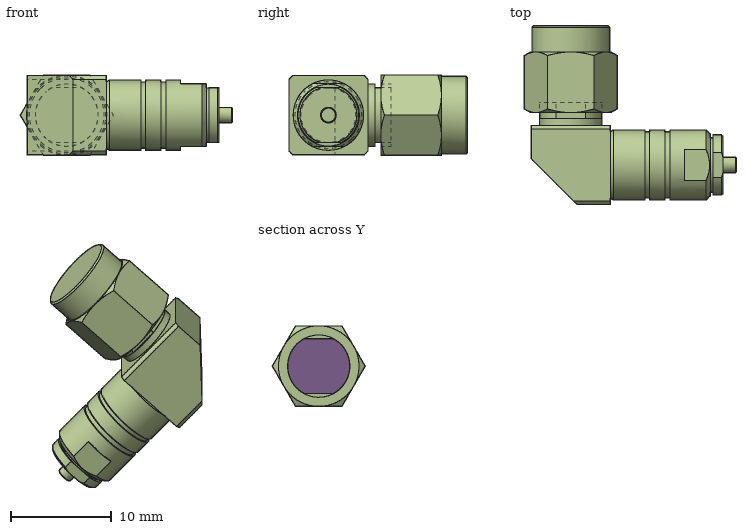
import cadquery as cq
import math


TOTAL_LENGTH = 21.08

BLOCK_SIZE = 7.88
BLOCK_HALF = BLOCK_SIZE / 2
BLOCK_EDGE_CHAMFER = 0.38
CORNER_CUT = 4.57

NECK_RADIUS = 3.1
COLLAR_RADIUS = 3.12
COLLAR_LENGTH = 0.7
NECK_FLAT_OFFSET = 2.75
NECK_DEPTH_IN_NUT = 1.0

NUT_START = 5.2
HEX_LENGTH = 6.03
HEX_SIDES = 6
HEX_ACROSS_FLATS = 8.0
HEX_ACROSS_CORNERS = HEX_ACROSS_FLATS / math.cos(math.pi / HEX_SIDES)
HEX_BEVEL_ANGLE = 30
NUT_END = 13.85
NUT_BARREL_RADIUS = 3.88
NUT_RIM_CHAMFER = 0.17

SLEEVE_RADIUS = 3.5
SLEEVE_START_CHAMFER_LENGTH = 0.3
SLEEVE_START_CHAMFER_DEPTH = 0.17
SLEEVE_END = 13.87
SLEEVE_END_CHAMFER = 0.42
GROOVE_DEPTH = 0.2
GROOVES = [(7.4, 7.85), (9.35, 9.87)]
SLEEVE_FLAT_START = 11.32
SLEEVE_FLAT_OFFSET = 3.15

RELIEF_RADIUS = 2.72
RING_START = 14.12
RING_END = 15.15
RING_RADIUS = 3.01
RING_CHAMFER = 0.2
RING_FLAT_OFFSET = 2.75
PIN_RADIUS = 0.78
PIN_END = TOTAL_LENGTH - HEX_ACROSS_CORNERS / 2
PIN_CHAMFER = 0.08


def cylinder_x(start, end, radius):
    return cq.Workplane("YZ").workplane(offset=start).circle(radius).extrude(end - start)


def cylinder_y(start, end, radius):
    return cq.Workplane("XZ").workplane(offset=-start).circle(radius).extrude(start - end)


def slab_x(start, end, half_height):
    """Box around the X axis that leaves flats on top of and below a round part."""
    width = 2 * BLOCK_SIZE
    return cq.Workplane("XY").box(end - start, width, 2 * half_height).translate(((start + end) / 2, 0, 0))


def slab_y(start, end, half_height):
    """Box around the Y axis that leaves flats on top of and below a round part."""
    width = 2 * BLOCK_SIZE
    return cq.Workplane("XY").box(width, end - start, 2 * half_height).translate((0, (start + end) / 2, 0))


def make_block():
    block = cq.Workplane("XY").box(BLOCK_SIZE, BLOCK_SIZE, BLOCK_SIZE)
    block = block.edges("|X").chamfer(BLOCK_EDGE_CHAMFER)
    corner = (
        cq.Workplane("XY")
        .moveTo(-BLOCK_HALF, -BLOCK_HALF)
        .lineTo(-BLOCK_HALF + CORNER_CUT, -BLOCK_HALF)
        .lineTo(-BLOCK_HALF, -BLOCK_HALF + CORNER_CUT)
        .close()
        .extrude(BLOCK_HALF, both=True)
    )
    return block.cut(corner)


def make_stub():
    collar_end = BLOCK_HALF + COLLAR_LENGTH
    neck_end = NUT_START + NECK_DEPTH_IN_NUT
    collar = cylinder_y(BLOCK_HALF, collar_end, COLLAR_RADIUS)
    neck = cylinder_y(collar_end, neck_end, NECK_RADIUS)
    neck = neck.intersect(slab_y(collar_end, neck_end, NECK_FLAT_OFFSET))
    return collar.union(neck)


def make_sleeve():
    sleeve = cylinder_x(BLOCK_HALF, SLEEVE_END, SLEEVE_RADIUS)
    sleeve = sleeve.faces("<X").chamfer(SLEEVE_START_CHAMFER_LENGTH, SLEEVE_START_CHAMFER_DEPTH)
    sleeve = sleeve.faces(">X").chamfer(SLEEVE_END_CHAMFER)
    for start, end in GROOVES:
        ring_outside = cylinder_x(start, end, SLEEVE_RADIUS)
        groove_floor = cylinder_x(start, end, SLEEVE_RADIUS - GROOVE_DEPTH)
        sleeve = sleeve.cut(ring_outside.cut(groove_floor))
    round_length = slab_x(BLOCK_HALF, SLEEVE_FLAT_START, BLOCK_HALF)
    flatted_length = slab_x(SLEEVE_FLAT_START, SLEEVE_END, SLEEVE_FLAT_OFFSET)
    return sleeve.intersect(round_length.union(flatted_length))


def make_cable_end():
    relief = cylinder_x(SLEEVE_END, RING_START, RELIEF_RADIUS)
    ring = cylinder_x(RING_START, RING_END, RING_RADIUS).faces(">X").chamfer(RING_CHAMFER)
    ring = ring.intersect(slab_x(RING_START, RING_END, RING_FLAT_OFFSET))
    pin = cylinder_x(RING_END, PIN_END, PIN_RADIUS).faces(">X").chamfer(PIN_CHAMFER)
    return relief.union(ring).union(pin)


def make_nut():
    hex_end = NUT_START + HEX_LENGTH
    nut_face = cq.Workplane("XZ").workplane(offset=-NUT_START)
    hexagon = nut_face.polygon(HEX_SIDES, HEX_ACROSS_CORNERS).extrude(-HEX_LENGTH)

    corner_radius = HEX_ACROSS_CORNERS / 2
    face_radius = HEX_ACROSS_FLATS / 2
    bevel_length = (corner_radius - face_radius) * math.tan(math.radians(HEX_BEVEL_ANGLE))
    envelope = (
        cq.Workplane("XY")
        .moveTo(0, NUT_START)
        .lineTo(face_radius, NUT_START)
        .lineTo(corner_radius, NUT_START + bevel_length)
        .lineTo(corner_radius, hex_end - bevel_length)
        .lineTo(face_radius, hex_end)
        .lineTo(0, hex_end)
        .close()
        .revolve(360, (0, 0, 0), (0, 1, 0))
    )
    barrel = cylinder_y(hex_end, NUT_END, NUT_BARREL_RADIUS).faces(">Y").chamfer(NUT_RIM_CHAMFER)
    bore = cylinder_y(NUT_START, NUT_START + NECK_DEPTH_IN_NUT, NECK_RADIUS)
    return hexagon.intersect(envelope).union(barrel).cut(bore)


elbow = make_block().union(make_stub()).union(make_sleeve()).union(make_cable_end())
nut = make_nut()

result = cq.Compound.makeCompound([elbow.val(), nut.val()])